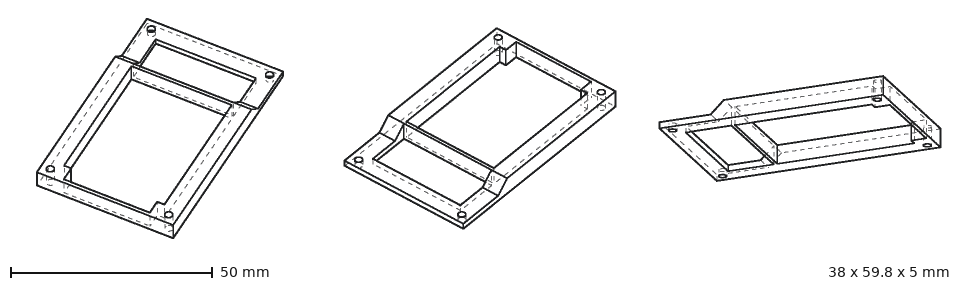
import cadquery as cq

width = 37.95
length = 59.8
height = 5.0
rail_width = 5.0

plate_thickness = 1.7
ramp_length = 3.5

wall_front = 41.6
wall_thickness = 0.95
wall_back = wall_front + wall_thickness

front_wall_thickness = 1.0
recess_width = 23.9

hole_diameter = 2.0
hole_inset = rail_width / 2

opening_width = width - 2 * rail_width


def through_opening(size_x, y_start, y_end):
    """Full-height cutter centred on X between two Y positions."""
    return (
        cq.Workplane("XY")
        .box(size_x, y_end - y_start, height, centered=(True, False, False))
        .translate((0, y_start, 0))
    )


body = (
    cq.Workplane("YZ")
    .polyline([
        (0, 0),
        (length, 0),
        (length, plate_thickness),
        (wall_back + ramp_length, plate_thickness),
        (wall_back, height),
        (0, height),
    ])
    .close()
    .extrude(width / 2, both=True)
)

body = body.cut(through_opening(opening_width, wall_back, length - rail_width))
body = body.cut(through_opening(opening_width, rail_width, wall_front))
body = body.cut(through_opening(recess_width, front_wall_thickness, rail_width))

hole_x = width / 2 - hole_inset
hole_positions = [
    (x, y)
    for x in (-hole_x, hole_x)
    for y in (hole_inset, length - hole_inset)
]
holes = cq.Workplane("XY").pushPoints(hole_positions).circle(hole_diameter / 2).extrude(height)

result = body.cut(holes)